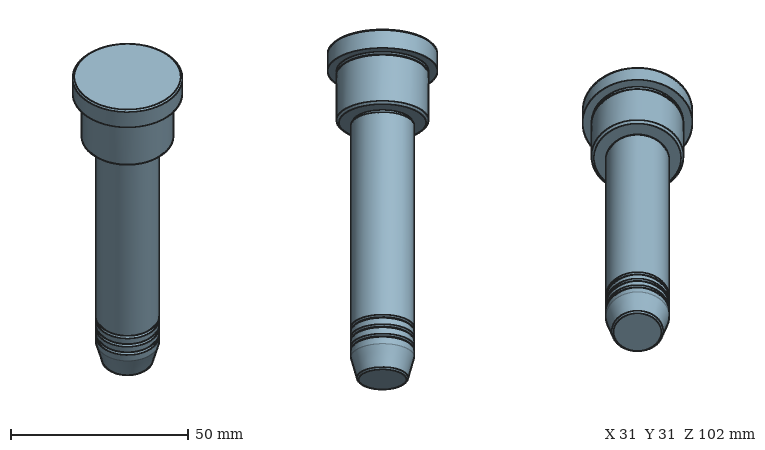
import cadquery as cq

length = 102.0
head_radius = 15.5
head_height = 6.0
head_chamfer = 0.5

collar_radius = 26.0 / 2
collar_bottom = length - 22.0
collar_chamfer = 0.7

undercut_height = 0.9
undercut_depth = 0.5

shank_radius = 9.0
taper_height = 7.0
tip_radius = 7.2
tip_chamfer = 0.5

groove_count = 3
groove_pitch = 3.0
groove_width = 1.0
groove_depth = 0.5
lowest_groove_z = 9.6


def cylinder(radius, bottom, top):
    return cq.Workplane("XY").workplane(offset=bottom).circle(radius).extrude(top - bottom)


def make_ring_groove(surface_radius, center_z):
    """V-section ring cutter that reaches groove_depth below a cylindrical surface."""
    half_width = groove_width / 2
    return (
        cq.Workplane("XZ")
        .polyline([
            (surface_radius, center_z - half_width),
            (surface_radius - groove_depth, center_z),
            (surface_radius, center_z + half_width),
        ])
        .close()
        .revolve(360, (0, 0, 0), (0, 1, 0))
    )


def make_head():
    head = cylinder(head_radius, length - head_height, length)
    return head.faces(">Z").chamfer(head_chamfer)


def make_collar():
    collar_top = length - head_height
    collar = cylinder(collar_radius, collar_bottom, collar_top).faces("<Z").chamfer(collar_chamfer)
    return collar.cut(make_ring_groove(collar_radius, collar_top - groove_width / 2))


def make_shank():
    shank_top = collar_bottom - undercut_height
    shank = (
        cq.Workplane("XZ")
        .polyline([
            (0, 0),
            (tip_radius - tip_chamfer, 0),
            (tip_radius, tip_chamfer),
            (shank_radius, taper_height),
            (shank_radius, shank_top),
            (0, shank_top),
        ])
        .close()
        .revolve(360, (0, 0, 0), (0, 1, 0))
    )
    neck = cylinder(shank_radius - undercut_depth, shank_top, collar_bottom)
    shank = shank.union(neck)
    for index in range(groove_count):
        shank = shank.cut(make_ring_groove(shank_radius, lowest_groove_z + index * groove_pitch))
    return shank


result = make_head().union(make_collar()).union(make_shank())